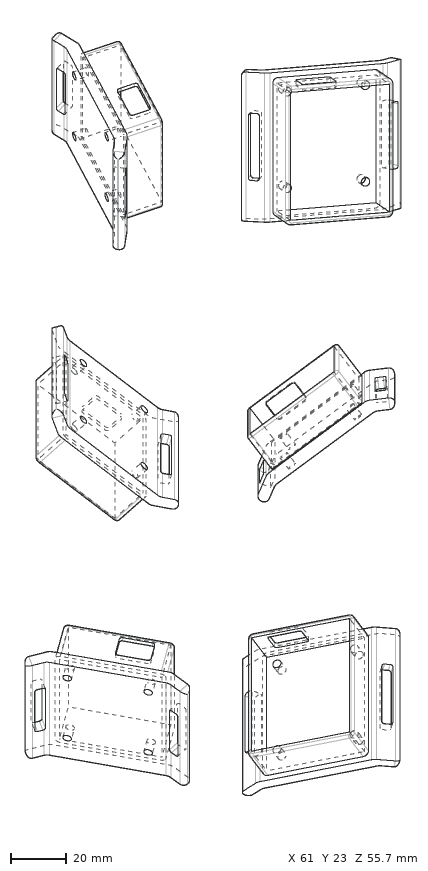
import cadquery as cq
import math

plate_height = 55.7
plate_thickness = 5.0
plate_length = 61.05
bend_x = 22.65
bend_radius = 3.8
wing_angle = 30.0
tip_radius = 2.0

slot_width = 4.0
slot_height = 25.0
slot_corner_radius = 1.0
slot_offset = 2.45

hole_diameter = 3.2
hole_spacing_x = 30.05
hole_spacing_z = 36.0
hole_center_z = 2.25

box_length = 41.1
box_height = 51.7
box_depth = 15.0
box_side_wall = 1.5
box_end_wall = 2.0
box_corner_radius = 2.0
box_rim_radius = 1.0

window_length = 13.1
window_width = 8.05
window_center_x = 7.1
window_rim_gap = 1.9
window_corner_radius = 1.0

wing_sin = math.sin(math.radians(wing_angle))
wing_cos = math.cos(math.radians(wing_angle))
wing_tan = wing_sin / wing_cos
wing_thickness = plate_thickness * wing_cos


def make_plate():
    """Bent plate with its front centre face on Y = 0."""
    back_tip_x = plate_length / 2 + tip_radius * (wing_cos + wing_sin - 1)
    back_tip_y = plate_thickness - (back_tip_x - bend_x) * wing_tan
    front_tip_x = back_tip_x - wing_thickness * wing_sin
    front_tip_y = -(front_tip_x - bend_x) * wing_tan

    right_side = [
        (bend_x, 0),
        (front_tip_x, front_tip_y),
        (back_tip_x, back_tip_y),
        (bend_x, plate_thickness),
    ]
    left_side = [(-x, y) for x, y in reversed(right_side)]
    plate = (
        cq.Workplane("XY")
        .polyline(right_side + left_side)
        .close()
        .extrude(plate_height / 2, both=True)
    )

    for side in (-1, 1):
        for bend_y in (0, plate_thickness):
            bend_edge = cq.selectors.NearestToPointSelector((side * bend_x, bend_y, 0))
            plate = plate.edges(bend_edge).fillet(bend_radius)

    for side in (-1, 1):
        tip_direction = cq.Vector(side * wing_cos, -wing_sin, 0)
        tip_face = cq.selectors.DirectionMinMaxSelector(tip_direction, True)
        tip_edges = plate.faces(tip_face).edges()
        if side == 1:
            tip_edges = tip_edges.edges("not <Z")
        plate = tip_edges.fillet(tip_radius)
    return plate


def make_slot_cutter(side):
    """Rounded bar square to the wing on the given side (-1 or 1)."""
    mouth = cq.Plane(
        origin=(side * (bend_x + slot_offset * wing_cos), -slot_offset * wing_sin, 0),
        xDir=(side * wing_cos, -wing_sin, 0),
        normal=(side * wing_sin, wing_cos, 0),
    )
    return (
        cq.Workplane(mouth)
        .rect(slot_width, slot_height)
        .extrude(2 * wing_thickness, both=True)
        .edges(cq.selectors.ParallelDirSelector(mouth.zDir))
        .fillet(slot_corner_radius)
    )


def make_screw_holes():
    return (
        cq.Workplane("XZ")
        .center(0, hole_center_z)
        .rect(hole_spacing_x, hole_spacing_z, forConstruction=True)
        .vertices()
        .circle(hole_diameter / 2)
        .extrude(-plate_thickness)
    )


def make_housing():
    """Rectangular wall standing on the back face of the plate."""
    base = cq.Workplane("XZ", origin=(0, plate_thickness, 0))
    outside = (
        base.rect(box_length, box_height)
        .extrude(-box_depth)
        .edges("|Y")
        .fillet(box_corner_radius)
        .faces(">Y")
        .edges()
        .fillet(box_rim_radius)
    )
    cavity_length = box_length - 2 * box_side_wall
    cavity_height = box_height - 2 * box_end_wall
    cavity = base.rect(cavity_length, cavity_height).extrude(-box_depth)
    return outside.cut(cavity)


def make_window_cutter():
    center_y = plate_thickness + box_depth - window_rim_gap - window_width / 2
    center_z = (box_height - box_end_wall) / 2
    return (
        cq.Workplane("XY")
        .box(window_length, window_width, 2 * box_end_wall)
        .edges("|Z")
        .fillet(window_corner_radius)
        .translate((window_center_x, center_y, center_z))
    )


result = make_plate().union(make_housing())
for wing_side in (-1, 1):
    result = result.cut(make_slot_cutter(wing_side))
result = result.cut(make_screw_holes()).cut(make_window_cutter())